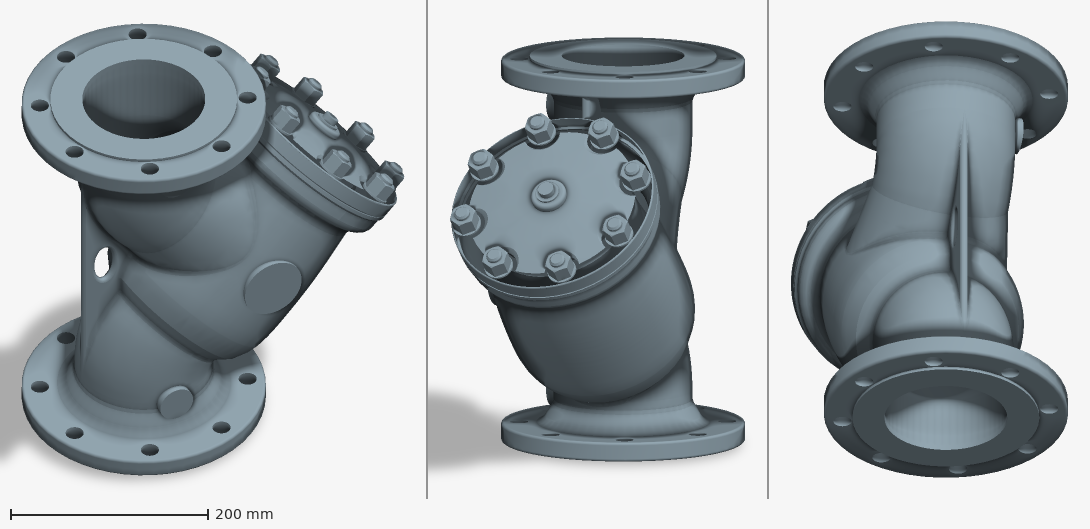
import cadquery as cq
import math


half_length = 200.0
pipe_radius = 70.5
bore_radius = 62.5
bend_radius = 73.5
bend_angle = 45.0
top_bend_height = 126.0
bottom_bend_height = -145.0

flange_radius = 124.0
raised_face_height = 3.0
raised_face_radius = 95.0
flange_back = 177.0
flange_edge_round = 3.0
flange_bolt_count = 8
flange_bolt_circle = 105.5
flange_hole_radius = 9.0
hub_start = 153.5
hub_cone_start = (pipe_radius + 1.0, 157.5)
hub_cone_end = (79.0, 170.0)
hub_foot_radius = 88.0

branch_length = 88.0
branch_flare = math.tan(math.radians(10))
branch_round = 7.0

barrel_shoulder = (84.5, 14.0)
barrel_shoulder_mid = (93.5, 36.0)
barrel_widest = (96.5, 72.0)
barrel_taper_mid = (94.0, 132.0)
barrel_neck = (88.0, 186.0)
barrel_wall = 8.0
shoulder_round = 8.0
collar_root = (94.5, 199.0)
collar_bulge = (102.0, 204.0)
collar_radius = 104.0
collar_start = 209.5
body_rim_radius = 106.5
body_rim_start = 221.5
body_rim_chamfer = 2.5
joint_start = 228.0
joint_radius = 103.0

screen_radius = 66.0

cover_radius = 106.5
cover_start = 229.5
cover_top = 245.0
cover_edge_round = 1.5
dome_radius = 88.0
dome_height = 10.0
cover_boss_radius = 18.5
cover_boss_top = 262.0
cover_boss_round = 3.0
plug_collar_radius = 12.0
plug_collar_top = 264.0
plug_head_radius = 8.0
plug_head_top = 270.5

stud_count = 8
stud_circle = 90.0
stud_radius = 8.0
stud_top = 268.0
stud_chamfer = 2.0
nut_flats = 24.0
nut_top = 263.5
nut_chamfer = 1.0
washer_radius = 15.0
washer_height = 2.0
spot_face_radius = 19.0
spot_face_taper = 45

rib_thickness = 8.0
rib_edge_round = 3.5
rib_root_round = 3.5
rib_root_reach = 100.0
rib_eye_y = -45.5
rib_eye_half_width = 10.6
rib_eye_half_height = 20.5
web_outer_y = 105.0
web_bottom = 96.0

boss_radius = 18.5
boss_height = 147.0
boss_face = 77.0
label_radius = 32.0
label_position = 110.0
label_face = barrel_widest[0]

half_root = math.sqrt(0.5)
bend_reach = bend_radius * (1 - half_root)
bend_rise = bend_radius * half_root
barrel_base = (0, bend_reach, bottom_bend_height + bend_rise)
branch_base = (0, bend_reach, top_bend_height - bend_rise)
barrel_frame = cq.Plane(origin=barrel_base, xDir=(1, 0, 0), normal=(0, 1, 1))
branch_frame = cq.Plane(origin=branch_base, xDir=(1, 0, 0), normal=(0, 1, -1))


def place(shape, frame):
    """Move a shape built around the Z axis onto an inclined frame."""
    return cq.Workplane(obj=shape.val().moved(cq.Location(frame)))


def turned(profile):
    """Turn a closed (radius, height) profile around the Z axis."""
    return profile.close().revolve(360, (0, 0), (0, 1))


def disc(radius, bottom, top):
    return cq.Workplane("XY", origin=(0, 0, bottom)).circle(radius).extrude(top - bottom)


def end_flange():
    """Upper flange and hub; the lower one is its mirror image."""
    face = half_length - raised_face_height
    profile = (
        cq.Workplane("XZ").moveTo(0, hub_start).lineTo(pipe_radius, hub_start)
        .lineTo(*hub_cone_start)
        .lineTo(*hub_cone_end)
        .tangentArcPoint((hub_foot_radius, flange_back), relative=False)
        .lineTo(flange_radius, flange_back).lineTo(flange_radius, face)
        .lineTo(0, face)
    )
    flange = turned(profile).edges(cq.selectors.RadiusNthSelector(-1)).fillet(flange_edge_round)
    raised = disc(raised_face_radius, face, half_length)
    holes = (
        cq.Workplane("XY", origin=(0, 0, flange_back))
        .polarArray(flange_bolt_circle, 180 / flange_bolt_count, 360, flange_bolt_count)
        .circle(flange_hole_radius).extrude(half_length - flange_back)
    )
    return flange.union(raised).cut(holes)


def pipe_run(radius):
    """Straight ends and both bends, as solid rods of the given radius."""
    top = cq.Workplane("XY", origin=(0, 0, top_bend_height))
    bottom = cq.Workplane("XY", origin=(0, 0, bottom_bend_height))
    top_bend = top.circle(radius).revolve(bend_angle, (0, bend_radius), (1, bend_radius))
    bottom_bend = bottom.circle(radius).revolve(bend_angle, (4, bend_radius), (0, bend_radius))
    top_end = top.circle(radius).extrude(half_length - top_bend_height)
    bottom_end = bottom.circle(radius).extrude(-half_length - bottom_bend_height)
    return top_bend, bottom_bend, top_end, bottom_end


def branch(radius):
    """Flaring branch, widening from the given radius."""
    end_radius = radius + branch_length * branch_flare
    profile = (
        cq.Workplane("XZ").lineTo(radius, 0).lineTo(end_radius, branch_length).lineTo(0, branch_length)
    )
    return place(turned(profile), branch_frame)


def barrel_outline(start_radius, wall):
    """Barrel profile from the bottom bend up to its neck, moved inwards by the wall."""
    def inside(point):
        return (point[0] - wall, point[1])

    upper_points = (barrel_shoulder_mid, barrel_widest, barrel_taper_mid, barrel_neck)
    return (
        cq.Workplane("XZ").lineTo(start_radius, 0).lineTo(*inside(barrel_shoulder))
        .spline([inside(point) for point in upper_points], includeCurrent=True)
    )


def barrel():
    """Barrel with the collar that carries the cover."""
    profile = (
        barrel_outline(pipe_radius, 0)
        .tangentArcPoint(collar_root, relative=False)
        .threePointArc(collar_bulge, (collar_radius, collar_start))
        .lineTo(collar_radius, body_rim_start)
        .lineTo(body_rim_radius, body_rim_start + body_rim_chamfer)
        .lineTo(body_rim_radius, joint_start)
        .lineTo(0, joint_start)
    )
    return place(turned(profile), barrel_frame)


def barrel_cavity():
    profile = barrel_outline(bore_radius, barrel_wall)
    profile = profile.lineTo(barrel_neck[0] - barrel_wall, cover_start).lineTo(0, cover_start)
    return place(turned(profile), barrel_frame)


def screen():
    """Strainer tube standing between the bottom bend and the cover."""
    tube = cq.Workplane("XY").circle(screen_radius).circle(bore_radius).extrude(cover_start)
    return place(tube, barrel_frame)


def hexagon(flats, bottom, top):
    """Hexagonal prism with two flats facing along X."""
    outline = cq.Workplane("XY", origin=(0, 0, bottom)).transformed(rotate=(0, 0, 30))
    return outline.polygon(6, flats / math.cos(math.radians(30))).extrude(top - bottom)


def stud_and_nut():
    """Stud with its washer and a nut whose top corners are chamfered."""
    crown = disc(nut_flats / 2 + 2 * nut_chamfer, cover_top, nut_top)
    crown = crown.faces(">Z").chamfer(nut_chamfer, 2 * nut_chamfer)
    nut = hexagon(nut_flats, cover_top, nut_top).intersect(crown)
    washer = disc(washer_radius, cover_top, cover_top + washer_height)
    stud = disc(stud_radius, cover_top, stud_top).faces(">Z").chamfer(stud_chamfer)
    return nut.union(washer).union(stud)


def cover():
    """Domed cover with gasket, spot-faced studs and a central plug."""
    gasket = disc(joint_radius, joint_start, cover_start)
    plate = disc(cover_radius, cover_start, cover_top).faces(">Z").edges().fillet(cover_edge_round)
    sphere_radius = (dome_radius ** 2 + dome_height ** 2) / (2 * dome_height)
    dome_mid_radius = dome_radius / 2
    dome_mid = cover_top + dome_height - sphere_radius + math.sqrt(sphere_radius ** 2 - dome_mid_radius ** 2)
    dome = turned(
        cq.Workplane("XZ").moveTo(0, cover_top).lineTo(dome_radius, cover_top)
        .threePointArc((dome_mid_radius, dome_mid), (0, cover_top + dome_height))
    )
    spot_faces = (
        cq.Workplane("XY", origin=(0, 0, cover_top))
        .polarArray(stud_circle, 180 / stud_count, 360, stud_count)
        .circle(spot_face_radius).extrude(dome_height, taper=-spot_face_taper)
    )
    boss = disc(cover_boss_radius, cover_top, cover_boss_top).faces(">Z").edges().fillet(cover_boss_round)
    plug = disc(plug_collar_radius, cover_top, plug_collar_top)
    head = disc(plug_head_radius, cover_top, plug_head_top)
    stud = stud_and_nut().val()
    studs = (
        cq.Workplane("XY").polarArray(stud_circle, 180 / stud_count, 360, stud_count, rotate=False)
        .eachpoint(lambda spot: stud.moved(spot))
    )
    assembly = plate.union(gasket).union(dome).cut(spot_faces).union(boss).union(plug).union(head)
    return place(assembly.union(studs), barrel_frame)


def rib():
    """Flat rib spanning both bends on the -Y side, pierced by an oval eye."""
    height = top_bend_height - bottom_bend_height
    plate = cq.Workplane("XY").box(rib_thickness, pipe_radius + bend_reach, height, centered=(True, False, False))
    plate = plate.edges("<Y and |Z").fillet(rib_edge_round)
    plate = plate.translate((0, -pipe_radius, bottom_bend_height))
    eye = (
        cq.Workplane("YZ", origin=(-rib_thickness / 2, rib_eye_y, 0))
        .ellipse(rib_eye_half_width, rib_eye_half_height).extrude(rib_thickness)
    )
    return plate.cut(eye).edges("%ELLIPSE").fillet(rib_edge_round)


def web():
    """Small web between the top flange, the top pipe end and the barrel collar."""
    height = flange_back - web_bottom
    plate = cq.Workplane("XY").box(rib_thickness, web_outer_y, height, centered=(True, False, False))
    plate = plate.edges(">Y and |Z").fillet(rib_edge_round)
    return plate.translate((0, 0, web_bottom))


def side_bosses():
    """Two round bosses on the pipe ends and a label pad on the barrel, facing +X."""
    pipe_bosses = (
        cq.Workplane("YZ").pushPoints([(0, boss_height), (0, -boss_height)])
        .circle(boss_radius).extrude(boss_face)
    )
    label = cq.Workplane(barrel_frame).transformed(rotate=(0, 90, 0), offset=(0, 0, label_position))
    return pipe_bosses.union(label.circle(label_radius).extrude(label_face))


def rounded_roots(ribbed_body):
    """Round the corners where the rib meets the bends and the barrel."""
    side = rib_thickness / 2
    for x in (-side, side):
        low = (x - 0.5, -pipe_radius, -rib_root_reach)
        high = (x + 0.5, 0, rib_root_reach)
        zone = cq.selectors.BoxSelector(low, high)
        ribbed_body = ribbed_body.edges(zone).edges("not(%LINE)").fillet(rib_root_round)
    return ribbed_body


def joined(parts):
    total = parts[0]
    for part in parts[1:]:
        total = total.union(part)
    return total


top_flange = end_flange()
bottom_flange = top_flange.mirror("XY")
body = joined([*pipe_run(pipe_radius), branch(pipe_radius), barrel()])
body = body.edges("%BSPLINE").edges("<Y").fillet(branch_round)
body = body.edges(cq.selectors.NearestToPointSelector(barrel_base)).fillet(shoulder_round)
body = rounded_roots(body.union(rib()))
body = joined([body, top_flange, bottom_flange, web(), side_bosses()])
for passage in [*pipe_run(bore_radius), branch(bore_radius), barrel_cavity()]:
    body = body.cut(passage)
result = body.union(screen()).union(cover())